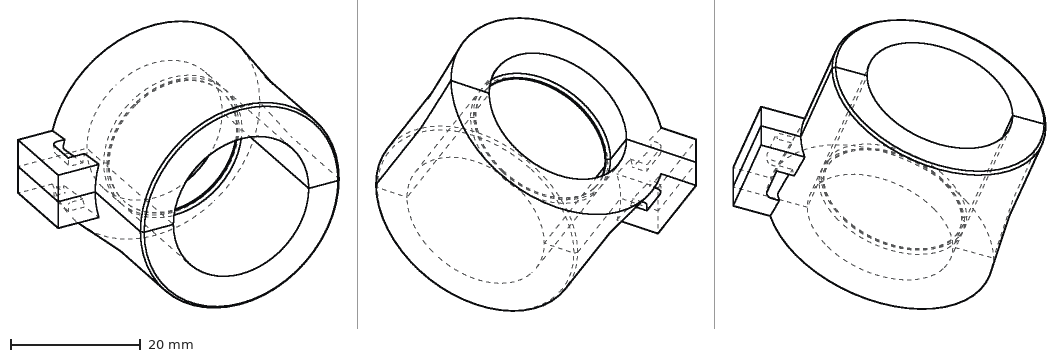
import cadquery as cq

length = 27.8
flare_radius = 18.55
flare_mid_radius = 18.0
barrel_radius = 17.5
flare_length = 12.18
end_chamfer = 0.43

bore_radius = 11.9
lip_radius = 11.32
lip_start = 5.4
lip_taper = 0.35
lip_land = 0.3

overall_width = 42.55
lug_length = 12.9
lug_height = 4.7
lug_end = overall_width - flare_radius

pocket_start = 3.4
pocket_end = 8.8
pocket_outer = lug_end - 4.0
pocket_depth = 1.5
pocket_corner_radius = 1.05
pocket_floor_fillet = 0.43


def outer_body():
    """Solid of revolution: flare with a concave profile, then a plain barrel."""
    return (
        cq.Workplane("XY")
        .lineTo(0, flare_radius)
        .threePointArc((flare_length / 2, flare_mid_radius), (flare_length, barrel_radius))
        .lineTo(length - end_chamfer, barrel_radius)
        .lineTo(length, barrel_radius - end_chamfer)
        .lineTo(length, 0)
        .close()
        .revolve(360, (0, 0, 0), (1, 0, 0))
    )


def bore():
    """Bore volume, narrowed only along the lip."""
    land_start = lip_start + lip_taper
    land_end = land_start + lip_land
    return (
        cq.Workplane("XY")
        .lineTo(0, bore_radius)
        .lineTo(lip_start, bore_radius)
        .lineTo(land_start, lip_radius)
        .lineTo(land_end, lip_radius)
        .lineTo(land_end + lip_taper, bore_radius)
        .lineTo(length, bore_radius)
        .lineTo(length, 0)
        .close()
        .revolve(360, (0, 0, 0), (1, 0, 0))
    )


def lug():
    """Upper lug block, reaching inwards to the bore axis."""
    return cq.Workplane("XY").box(lug_length, lug_end, lug_height, centered=False).translate((0, -lug_end, 0))


def pocket():
    """Pocket volume with one rounded corner and a filleted floor along that corner."""
    floor = lug_height - pocket_depth
    return (
        cq.Workplane("XY")
        .box(pocket_end - pocket_start, pocket_outer, pocket_depth, centered=False)
        .translate((pocket_start, -pocket_outer, floor))
        .edges("|Z and <X and <Y")
        .fillet(pocket_corner_radius)
        .faces("<Z")
        .edges("<Y")
        .fillet(pocket_floor_fillet)
    )


def upper_half():
    """Half shell above Z = 0, with its pocketed lug."""
    upper_space = cq.Workplane("XY").box(
        length, 2 * overall_width, overall_width, centered=(False, True, False)
    )
    shell = outer_body().intersect(upper_space)
    pocketed_lug = lug().cut(pocket())
    return shell.union(pocketed_lug).cut(bore())


upper_shell = upper_half()
lower_shell = upper_shell.mirror("XY")

result = cq.Compound.makeCompound([upper_shell.val(), lower_shell.val()])